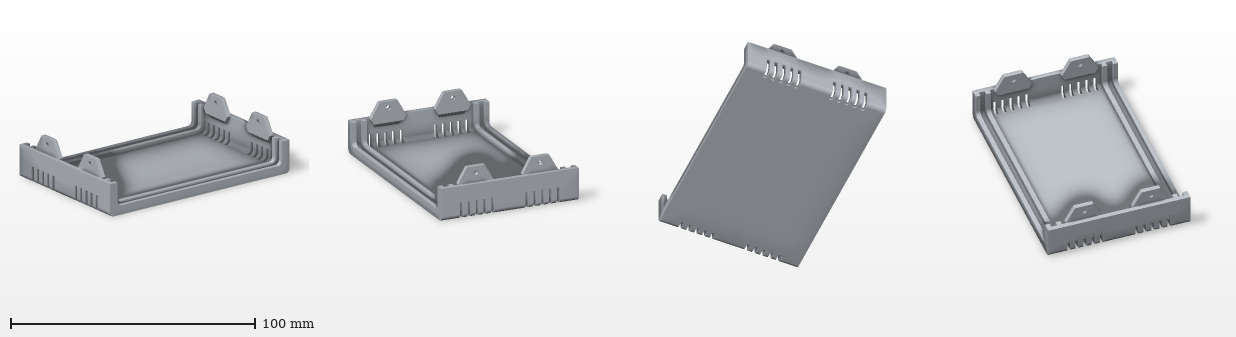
import cadquery as cq

length_x = 61.8
width_y = 92.0
wall_height = 14.3
wall = 2.0
corner_radius = 2.0

groove_width = 2.6
inner_rail_end = 2 * wall + groove_width

tab_diameter = 16.0
tab_inset = 16.4
tab_thickness = wall
tab_face_depth = 2.3
screw_hole_diameter = 2.0
screw_hole_rise = 4.0

vent_count = 5
vent_width = 1.5
vent_pitch = 3.5
vent_inset = 8.4
vent_top = wall_height / 2
vent_depth = wall + corner_radius

half_x = length_x / 2
half_y = width_y / 2


def channel_cavity(x_start, x_end, thickness):
    """Open-topped space inside a U channel of the given thickness."""
    return (
        cq.Workplane("XY")
        .box(x_end - x_start, width_y - 2 * thickness, wall_height, centered=(False, True, False))
        .edges("|X and <Z")
        .fillet(corner_radius)
        .translate((x_start, 0, thickness))
    )


def make_shell():
    shell = (
        cq.Workplane("XY")
        .box(length_x, width_y, wall_height, centered=(True, True, False))
        .edges("|X and <Z")
        .fillet(corner_radius)
    )
    shell = shell.cut(channel_cavity(-half_x, half_x, 2 * wall))
    shell = shell.cut(channel_cavity(-half_x + inner_rail_end, half_x - inner_rail_end, wall))
    for groove_start in (-half_x + wall, half_x - inner_rail_end + wall):
        shell = shell.cut(channel_cavity(groove_start, groove_start + groove_width, wall))
    return shell


def cut_vents(shell):
    for side in (-1, 1):
        for index in range(vent_count):
            x_centre = side * (half_x - vent_inset - vent_width / 2 - index * vent_pitch)
            for end in (-1, 1):
                vent = cq.Workplane("XY").box(vent_width, vent_depth, vent_top, centered=(True, True, False))
                shell = shell.cut(vent.translate((x_centre, end * (half_y - vent_depth / 2), 0)))
    return shell


def make_tab():
    """Tab on the -Y wall, centred on X = 0, with its underside rising inward at 45 degrees."""
    wall_face = -half_y + wall
    inner_face = wall_face + tab_thickness
    hexagon = (
        cq.Workplane("XZ", origin=(0, inner_face, wall_height))
        .polygon(6, tab_diameter)
        .extrude(tab_thickness)
    )
    hole = (
        cq.Workplane("XZ", origin=(0, inner_face, wall_height + screw_hole_rise))
        .circle(screw_hole_diameter / 2)
        .extrude(tab_thickness)
    )
    face_bottom = wall_height - tab_face_depth
    under_tab = (
        cq.Workplane("YZ")
        .moveTo(wall_face, face_bottom - tab_thickness)
        .lineTo(inner_face, face_bottom)
        .lineTo(inner_face, 0)
        .lineTo(wall_face, 0)
        .close()
        .extrude(tab_diameter / 2, both=True)
    )
    return hexagon.cut(hole).cut(under_tab)


def add_tabs(shell):
    for x_centre in (-half_x + tab_inset, half_x - tab_inset):
        tab = make_tab().translate((x_centre, 0, 0))
        shell = shell.union(tab).union(tab.mirror("XZ"))
    return shell


result = add_tabs(cut_vents(make_shell()))